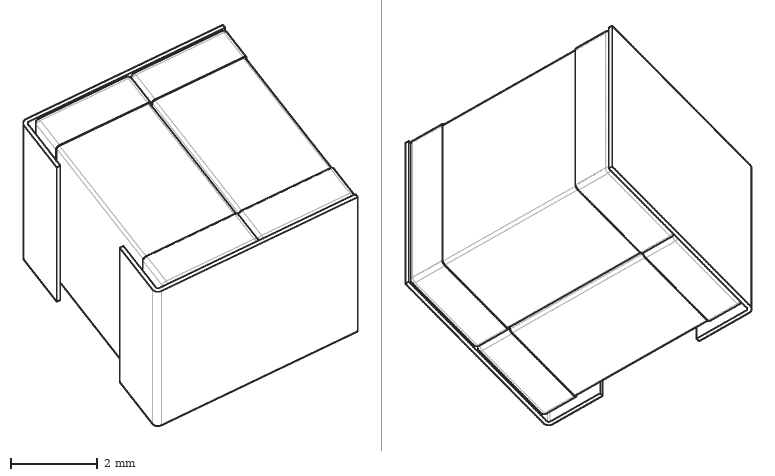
import cadquery as cq

overall_length = 6.0
overall_depth = 5.5
overall_height = 5.0

lead_thickness = 0.1
lead_bend_radius = 0.15
foot_length = 1.6
foot_clearance = 0.2

chip_count = 2
cap_length = 0.965
cap_wall = 0.03
cap_edge_radius = 0.1

lead_face_x = overall_length / 2
chip_end_x = lead_face_x - lead_thickness
chip_length = 2 * chip_end_x
back_y = overall_depth / 2
front_y = -overall_depth / 2
chip_depth = (overall_depth - lead_thickness - foot_clearance) / chip_count
ceramic_length = chip_length - 2 * cap_wall
ceramic_depth = chip_depth - 2 * cap_wall
ceramic_height = overall_height - 2 * cap_wall
ceramic_edge_radius = cap_edge_radius - cap_wall


def make_ceramic(center_y):
    """Ceramic block with every edge rounded; its ends sit inside the caps."""
    block = cq.Workplane("XY").box(ceramic_length, ceramic_depth, ceramic_height)
    return block.edges().fillet(ceramic_edge_radius).translate((0, center_y, 0))


def make_cap(center_y, side, ceramic):
    """Rounded metal cup over one chip end; side is -1 for -X and +1 for +X."""
    center_x = side * (chip_end_x - cap_length / 2)
    open_face = "<X" if side > 0 else ">X"
    block = cq.Workplane("XY").box(cap_length, chip_depth, overall_height)
    rounded = block.edges(f"not {open_face}").fillet(cap_edge_radius)
    return rounded.translate((center_x, center_y, 0)).cut(ceramic)


def make_lead(side):
    """L-shaped strip: a wall against the chip ends and a foot turned inward at the front."""
    outer_x = side * lead_face_x
    inner_x = side * chip_end_x
    foot_tip_x = side * (lead_face_x - foot_length)
    foot_back_y = front_y + lead_thickness
    profile = [
        (outer_x, back_y),
        (outer_x, front_y),
        (foot_tip_x, front_y),
        (foot_tip_x, foot_back_y),
        (inner_x, foot_back_y),
        (inner_x, back_y),
    ]
    strip = cq.Workplane("XY").polyline(profile).close().extrude(overall_height / 2, both=True)
    outer_bend = cq.NearestToPointSelector((outer_x, front_y, 0))
    inner_bend = cq.NearestToPointSelector((inner_x, foot_back_y, 0))
    strip = strip.edges("|Z").edges(outer_bend).fillet(lead_bend_radius)
    return strip.edges("|Z").edges(inner_bend).fillet(lead_bend_radius - lead_thickness)


sides = (-1, 1)
leads = [make_lead(side) for side in sides]

ceramics = []
caps = []
for index in range(chip_count):
    chip_center_y = back_y - (index + 0.5) * chip_depth
    ceramic = make_ceramic(chip_center_y)
    ceramics.append(ceramic)
    for side in sides:
        caps.append(make_cap(chip_center_y, side, ceramic))

result = cq.Compound.makeCompound([body.solids().val() for body in leads + ceramics + caps])